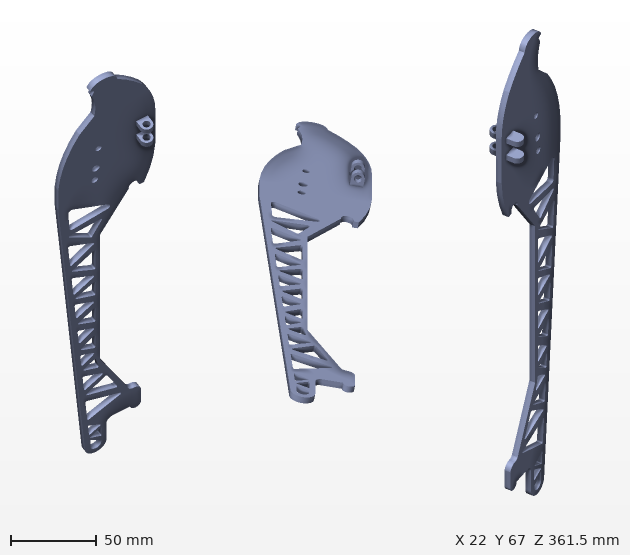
import cadquery as cq
import math

plate_thickness = 4.0
width = 67.0
height = 361.5
half_width = width / 2
half_height = height / 2

front_rail = 3.5
back_rail = 3.07
heel_rail = 4.0
foot_rail = 3.45

front_top = (-half_width, 75.2)
foot_width = 15.0
foot_radius = foot_width / 2
foot_center = (-7.5, -half_height + foot_radius)
front_bottom = (foot_center[0] - foot_radius, foot_center[1])

arm_back = -4.7
neck_top = (15.2, 61.0)
neck_bottom = (arm_back, 30.0)
heel_top = (arm_back, -92.2)
heel_bottom = (15.2, -135.3)

foot_back = foot_center[0] + foot_radius
toe_back = 23.5
sole = -153.5
toe_radius = 3.5
arch_radius = 4.5

plate_holes = [(-5.8, 115.5, 4.5), (-7.5, 97.3, 5.5), (-8.3, 86.5, 4.7)]

tab_span = 22.0
tab_width = 8.0
tab_thickness = 4.0
tab_y = 24.2
tab_heights = [108.5, 121.5]
tab_hole_diameter = 4.7

lattice_windows = [
    ("front", 34.5, 13.0, 24.5),
    ("back", 18.0, -1.8, 8.0),
    ("front", 1.5, -16.5, -7.5),
    ("back", -13.0, -27.0, -20.5),
    ("front", -26.0, -41.0, -33.0),
    ("back", -38.7, -53.0, -46.5),
    ("front", -53.0, -67.0, -59.0),
    ("back", -65.5, -79.0, -73.5),
    ("front", -78.5, -90.5, -83.2),
    ("back", -89.0, -100.0, -94.8),
    ("front", -100.5, -115.5, -107.5),
    ("back", -110.5, -128.5, -120.5),
    ("front", -126.2, -146.0, -135.5),
]
window_fillet = 0.9

head_window = [(7.5, 52.5), (-26.8, 69.8), (-25.5, 48.5)]
head_window_fillet = 2.0
neck_window = [(-2.5, 45.2), (-28.0, 43.8), (-10.5, 31.5)]

foot_windows = [("front", -151.2, -161.3, -156.5), ("back", -159.0, -168.0, -164.2)]
foot_fillet = 0.55

foot_end_window_front_z = -166.5
foot_end_window_back_z = -172.0


def y_on_line(start, end, z):
    """Y of the straight line through two points at height z."""
    return start[0] + (end[0] - start[0]) * (z - start[1]) / (end[1] - start[1])


def front_rail_y(z):
    """Inner side of the front rail."""
    return y_on_line(front_top, front_bottom, z) + front_rail


def back_rail_y(z):
    """Inner side of the back rail, vertical and then following the heel."""
    return max(arm_back - back_rail, y_on_line(heel_top, heel_bottom, z) - heel_rail)


def foot_rail_y(z):
    """Inner side of the vertical rail at the back of the foot."""
    return foot_back - foot_rail


def triangle(side, base_top, base_bottom, apex, back_y):
    """Corners of a window whose base follows one rail and whose apex meets the other."""
    base_y, apex_y = (front_rail_y, back_y) if side == "front" else (back_y, front_rail_y)
    return [(base_y(base_top), base_top), (base_y(base_bottom), base_bottom), (apex_y(apex), apex)]


def extrude_plate(sketch):
    """Extrude a YZ outline through the plate thickness."""
    return sketch.extrude(plate_thickness / 2, both=True)


def window_cutter(corners, fillet):
    """Prism with rounded corners for one triangular window."""
    return extrude_plate(cq.Workplane("YZ").polyline(corners).close()).edges("|X").fillet(fillet)


def make_plate():
    """Bird-shaped silhouette, drawn from the crown down the front and up the back."""
    toe_y = toe_back - toe_radius
    diagonal = math.sqrt(0.5)
    arch_center = (foot_back + arch_radius, sole - arch_radius)
    return extrude_plate(
        cq.Workplane("YZ")
        .moveTo(7.2, 174.5)
        .spline([(4.0, 179.5), (-1.8, half_height), (-8.0, 179.5), (-11.5, 175.0)], includeCurrent=True)
        .lineTo(-8.5, 173.5)
        .lineTo(-10.5, 169.5)
        .threePointArc((-8.0, 159.0), (-8.5, 149.0))
        .lineTo(-18.8, 138.0)
        .threePointArc((-29.0, 117.2), (-half_width, 94.0))
        .lineTo(*front_top)
        .lineTo(*front_bottom)
        .threePointArc((foot_center[0], -half_height), (foot_back, foot_center[1]))
        .lineTo(foot_back, sole - arch_radius)
        .threePointArc(
            (arch_center[0] - arch_radius * diagonal, arch_center[1] + arch_radius * diagonal),
            (arch_center[0], sole),
        )
        .lineTo(toe_y - toe_radius, sole)
        .threePointArc((toe_y, sole - toe_radius), (toe_back, sole))
        .lineTo(toe_back, -140.7)
        .threePointArc((22.0, -138.0), (18.8, -136.7))
        .threePointArc((16.5, -136.5), heel_bottom)
        .lineTo(*heel_top)
        .lineTo(*neck_bottom)
        .lineTo(*neck_top)
        .threePointArc((19.5, 65.5), (22.5, 62.5))
        .lineTo(22.5, 60.0)
        .lineTo(25.5, 60.0)
        .threePointArc((31.0, 76.0), (half_width, 92.2))
        .lineTo(half_width, 126.5)
        .threePointArc((30.7, 143.5), (24.5, 156.5))
        .threePointArc((16.3, 166.5), (7.2, 174.5))
        .close()
    )


def foot_end_window():
    """Lowest window: a sloping top and a round end concentric with the foot."""
    center_y, center_z = foot_center
    radius = foot_radius - front_rail
    return extrude_plate(
        cq.Workplane("YZ")
        .moveTo(center_y + radius, foot_end_window_back_z)
        .lineTo(center_y + radius, center_z)
        .threePointArc((center_y, center_z - radius), (center_y - radius, center_z))
        .lineTo(center_y - radius, foot_end_window_front_z)
        .close()
    )


def cut_windows(plate):
    """Cut the triangular windows of neck, arm and foot."""
    plate = plate.cut(window_cutter(head_window, head_window_fillet))
    plate = plate.cut(window_cutter(neck_window, window_fillet))
    for window in lattice_windows:
        plate = plate.cut(window_cutter(triangle(*window, back_rail_y), window_fillet))
    for window in foot_windows:
        plate = plate.cut(window_cutter(triangle(*window, foot_rail_y), foot_fillet))
    return plate.cut(foot_end_window())


def cut_plate_holes(plate):
    """Drill the round holes of the head."""
    for y, z, diameter in plate_holes:
        plate = plate.cut(extrude_plate(cq.Workplane("YZ").center(y, z).circle(diameter / 2)))
    return plate


def make_tab(z):
    """Tab through the plate with two round ends and a hole in the +X end."""
    tip_center = (tab_span - tab_width) / 2
    plane = cq.Workplane("XY", origin=(0, tab_y, z - tab_thickness / 2))
    tab = plane.slot2D(tab_span, tab_width).extrude(tab_thickness)
    hole = plane.center(tip_center, 0).circle(tab_hole_diameter / 2).extrude(tab_thickness)
    return tab.cut(hole)


result = cut_plate_holes(cut_windows(make_plate()))
for tab_z in tab_heights:
    result = result.union(make_tab(tab_z))